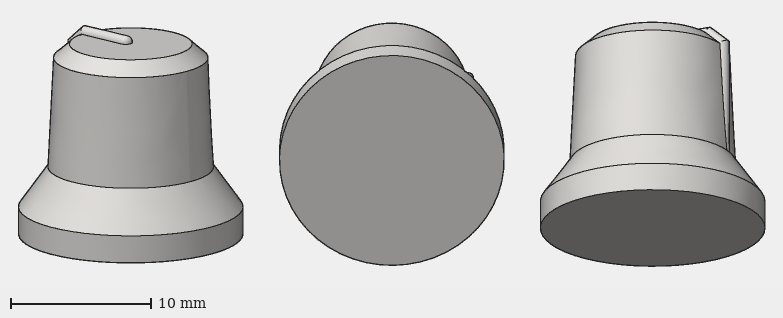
import cadquery as cq

base_radius = 8.0
base_height = 2.0
skirt_height = 4.95
grip_bottom_radius = 5.9
grip_top_radius = 5.5
bevel_bottom = 13.0
top_radius = 4.37
body_height = 14.0

overall_height = 14.5
pointer_radius = overall_height - body_height
pointer_side_x = -5.45
pointer_slope_top_x = -4.37
pointer_slope_bottom_z = 13.05
pointer_end_x = -pointer_radius
pointer_turn = 0.8


def knob_body():
    """Solid of revolution: base disc, flared skirt, tapered grip and top bevel."""
    return (
        cq.Workplane("XZ")
        .moveTo(0, 0)
        .lineTo(base_radius, 0)
        .lineTo(base_radius, base_height)
        .lineTo(grip_bottom_radius, skirt_height)
        .lineTo(grip_top_radius, bevel_bottom)
        .lineTo(top_radius, body_height)
        .lineTo(0, body_height)
        .close()
        .revolve(360, (0, 0, 0), (0, 1, 0))
    )


def pointer():
    """Round bar up the grip, over the bevel and along the top to a ball end."""
    path = (
        cq.Workplane("XZ")
        .moveTo(pointer_side_x, base_height)
        .lineTo(pointer_side_x, pointer_slope_bottom_z)
        .lineTo(pointer_slope_top_x, body_height)
        .lineTo(pointer_end_x, body_height)
    )
    bar = (
        cq.Workplane("XY", origin=(pointer_side_x, 0, base_height))
        .circle(pointer_radius)
        .sweep(path, transition="right")
    )
    ball_end = cq.Workplane("XY", origin=(pointer_end_x, 0, body_height)).sphere(pointer_radius)
    return bar.union(ball_end).rotate((0, 0, 0), (0, 0, 1), pointer_turn)


result = knob_body().union(pointer())